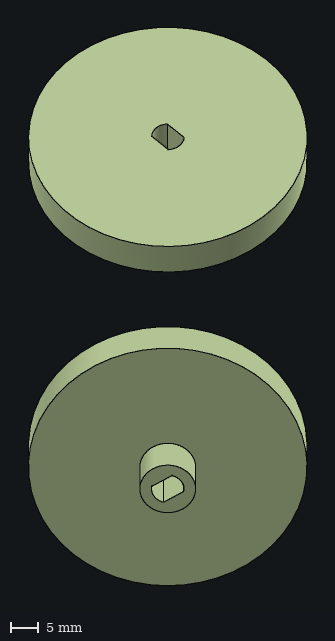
import cadquery as cq

disc_diameter = 50
disc_thickness = 7.5
hub_diameter = 10
hub_length = 7.5

bore_diameter = 5.8
bore_across_flats = 3.95
flat_angle = -6

total_height = hub_length + disc_thickness

hub = cq.Workplane("XY").circle(hub_diameter / 2).extrude(hub_length)
disc = (
    cq.Workplane("XY", origin=(0, 0, hub_length))
    .circle(disc_diameter / 2)
    .extrude(disc_thickness)
)


def double_flat_bore():
    """Round bore trimmed by two parallel flats, as a solid to cut away."""
    round_bore = cq.Workplane("XY").circle(bore_diameter / 2).extrude(total_height)
    between_flats = (
        cq.Workplane("XY")
        .rect(bore_diameter, bore_across_flats)
        .extrude(total_height)
    )
    trimmed = round_bore.intersect(between_flats)
    return trimmed.rotate((0, 0, 0), (0, 0, 1), flat_angle)


result = hub.union(disc).cut(double_flat_bore())